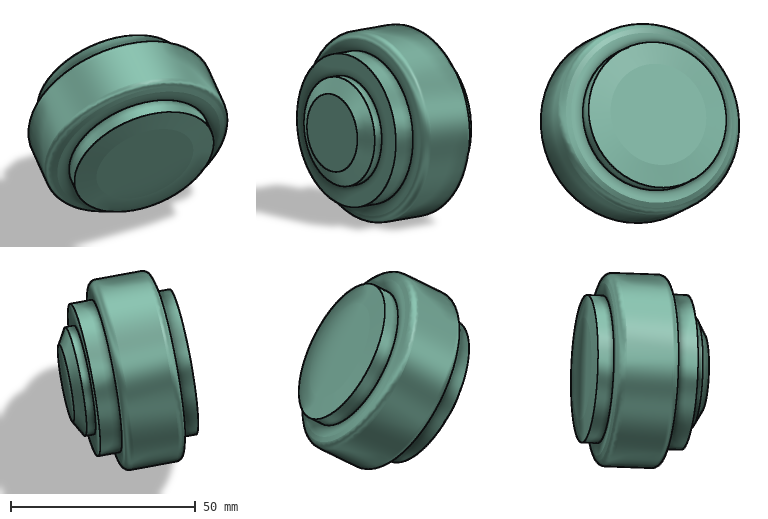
import cadquery as cq

nose_tip_diameter = 21.35
nose_diameter = 30.0
hub_diameter = 42.0
roller_diameter = 52.5
flange_diameter = 40.0

nose_cone_length = 2.5
nose_land_length = 2.45
hub_length = 6.0
roller_width = 17.0
flange_length = 5.05

roller_edge_radius = 2.1
roller_bevel_length = 0.85
roller_bevel_depth = 2.9
flange_bevel_length = 0.7
flange_bevel_depth = 6.1

nose_land_start = nose_cone_length
hub_start = nose_land_start + nose_land_length
roller_start = hub_start + hub_length
roller_end = roller_start + roller_width
flange_end = roller_end + flange_length


def disc(start, end, diameter):
    """Solid cylinder on the X axis between two stations."""
    return cq.Workplane("YZ", origin=(start, 0, 0)).circle(diameter / 2).extrude(end - start)


def bevel_back_edge(body, length, depth):
    """Cone on the +X edge, with its length along X and its depth along the radius."""
    return body.faces(">X").edges().chamfer(length, depth)


nose = (
    cq.Workplane("XY")
    .moveTo(0, 0)
    .lineTo(0, nose_tip_diameter / 2)
    .lineTo(nose_land_start, nose_diameter / 2)
    .lineTo(hub_start, nose_diameter / 2)
    .lineTo(hub_start, 0)
    .close()
    .revolve(360, (0, 0, 0), (1, 0, 0))
)

hub = disc(hub_start, roller_start, hub_diameter)

roller = disc(roller_start, roller_end, roller_diameter)
roller = bevel_back_edge(roller, roller_bevel_length, roller_bevel_depth)
outer_rims = cq.selectors.RadiusNthSelector(-1)
roller = roller.edges("%CIRCLE").edges(outer_rims).fillet(roller_edge_radius)

flange = disc(roller_end, flange_end, flange_diameter)
flange = bevel_back_edge(flange, flange_bevel_length, flange_bevel_depth)

result = nose.union(hub).union(roller).union(flange)